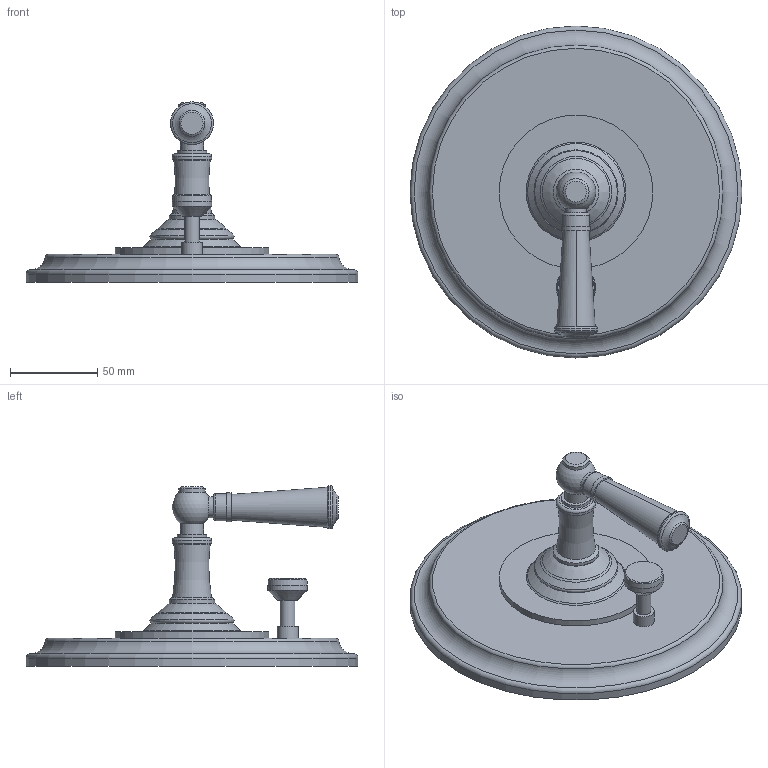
import cadquery as cq

plate_diameter = 190.5
overall_height = 103.43
overlap = 0.5

plate_radius = plate_diameter / 2
rim_height = 4.6
rim_round = 2.4
cove_radius = 8.66
cove_head_radius = 84.3
cove_head_z = 14.3
plate_top_radius = 82.4
plate_top_z = 16.0
plate_edge_round = 2.2

disc_radius = 44.1
disc_top_z = 19.6

flare_foot_radius = 28.6
flare_foot_z = 20.4
step_foot = (23.1, 24.7)
step_mid = (24.1, 25.8)
step_head = (23.7, 27.0)
shoulder_low = (20.4, 30.1)
shoulder_high = (19.3, 31.0)
cone_mid = (16.4, 33.8)
cone_head_radius = 12.9
bead_radius = 13.1
bead_low_z = 36.2
bead_high_z = 38.3

column_foot_radius = 11.2
column_foot_z = 39.5
waist_radius = 9.6
waist_z = 58.5
column_head_radius = 10.4
column_head_z = 70.0
collar_radius = 11.3
collar_low_z = 70.5
collar_round = 1.6
collar_top_z = 73.7
small_collar_radius = 8.4
small_collar_top_z = 75.6
neck_radius = 6.6

ball_radius = 11.4
cap_radius = 7.5
cap_shoulder_z = 99.8
cap_edge_z = 101.8
cap_top_radius = 6.0
cap_top_z = 102.8

lever_end_radius = 12.3
lever_axis_z = overall_height - lever_end_radius
lever_neck_radius = 6.0
sleeve_start = 12.2
sleeve_radius = 7.7
sleeve_round = 1.2
ring_start = 19.9
ring_radius = 8.3
ring_end = 22.4
grip_start_radius = 7.4
grip_end = 77.5
grip_end_width_radius = 11.0
grip_end_height_radius = 11.5
end_ring_round = 1.1
end_ring_end = 80.6
dome_mid = (9.1, 81.7)
dome_end_radius = 7.4
dome_end = 83.2
end_face_radius = 6.4
lever_length = 84.0

knob_y = -54.9
socket_radius = 6.0
socket_top_z = 23.0
stem_radius = 4.2
knob_foot_radius = 5.6
knob_foot_z = 37.7
knob_radius = 11.3
knob_flare_top_z = 43.4
knob_band_z = 46.5
knob_upper_radius = 11.0
knob_edge = 0.6
knob_top_z = 50.3


def revolve_profile(profile):
    """Close an (r, z) profile against the Z axis and revolve it."""
    return profile.close().revolve(360, (0, 0, 0), (0, 1, 0))


def make_plate():
    """Round plate with a rounded rim and a cove up to its flat top."""
    profile = (
        cq.Workplane("XZ")
        .lineTo(plate_radius, 0)
        .lineTo(plate_radius, rim_height)
        .radiusArc((plate_radius - rim_round, rim_height + rim_round), -rim_round)
        .radiusArc((cove_head_radius, cove_head_z), cove_radius)
        .radiusArc((plate_top_radius, plate_top_z), -plate_edge_round)
        .lineTo(0, plate_top_z)
    )
    return revolve_profile(profile)


def make_disc():
    """Thin index disc on top of the plate."""
    base_z = plate_top_z - overlap
    return cq.Workplane("XY").workplane(offset=base_z).circle(disc_radius).extrude(disc_top_z - base_z)


def make_column():
    """Stepped escutcheon, waisted column, collars and the neck up into the ball."""
    profile = (
        cq.Workplane("XZ")
        .moveTo(0, disc_top_z - overlap)
        .lineTo(flare_foot_radius, disc_top_z - overlap)
        .lineTo(flare_foot_radius, disc_top_z)
        .lineTo(flare_foot_radius - (flare_foot_z - disc_top_z), flare_foot_z)
        .lineTo(*step_foot)
        .threePointArc(step_mid, step_head)
        .lineTo(*shoulder_low)
        .lineTo(*shoulder_high)
        .threePointArc(cone_mid, (cone_head_radius, bead_low_z))
        .lineTo(bead_radius, bead_low_z)
        .lineTo(bead_radius, bead_high_z)
        .lineTo(column_foot_radius, column_foot_z)
        .threePointArc((waist_radius, waist_z), (column_head_radius, column_head_z))
        .lineTo(column_head_radius, collar_low_z)
        .lineTo(collar_radius, collar_low_z)
        .lineTo(collar_radius, collar_top_z - collar_round)
        .radiusArc((collar_radius - collar_round, collar_top_z), -collar_round)
        .lineTo(small_collar_radius, collar_top_z)
        .lineTo(small_collar_radius, small_collar_top_z)
        .lineTo(neck_radius, small_collar_top_z)
        .lineTo(neck_radius, lever_axis_z)
        .lineTo(0, lever_axis_z)
    )
    return revolve_profile(profile)


def make_ball():
    """Ball at the lever axis, topped by a small bevelled cap."""
    ball = cq.Workplane("XY").sphere(ball_radius).translate((0, 0, lever_axis_z))
    trim_size = 2 * ball_radius
    trim = (
        cq.Workplane("XY")
        .workplane(offset=cap_shoulder_z)
        .rect(trim_size, trim_size)
        .extrude(trim_size)
    )
    cap_profile = (
        cq.Workplane("XZ")
        .moveTo(0, lever_axis_z)
        .lineTo(cap_radius, lever_axis_z)
        .lineTo(cap_radius, cap_edge_z)
        .lineTo(cap_top_radius, cap_top_z)
        .lineTo(0, cap_top_z)
    )
    return ball.cut(trim).union(revolve_profile(cap_profile))


def make_grip():
    """Grip that widens from a circle to a slightly tall oval."""
    return (
        cq.Workplane("XY")
        .workplane(offset=ring_end)
        .circle(grip_start_radius)
        .workplane(offset=grip_end - ring_end)
        .ellipse(grip_end_width_radius, grip_end_height_radius)
        .loft()
    )


def make_lever():
    """Lever with sleeve, ring, oval grip and domed end, built along Z and then laid along -Y."""
    profile = (
        cq.Workplane("XZ")
        .lineTo(lever_neck_radius, 0)
        .lineTo(lever_neck_radius, sleeve_start)
        .lineTo(sleeve_radius - sleeve_round, sleeve_start)
        .radiusArc((sleeve_radius, sleeve_start + sleeve_round), -sleeve_round)
        .lineTo(sleeve_radius, ring_start)
        .lineTo(ring_radius, ring_start)
        .lineTo(ring_radius, ring_end)
        .lineTo(grip_start_radius, ring_end)
        .lineTo(grip_start_radius, grip_end)
        .lineTo(lever_end_radius - end_ring_round, grip_end)
        .radiusArc((lever_end_radius, grip_end + end_ring_round), -end_ring_round)
        .lineTo(lever_end_radius, end_ring_end - end_ring_round)
        .radiusArc((lever_end_radius - end_ring_round, end_ring_end), -end_ring_round)
        .threePointArc(dome_mid, (dome_end_radius, dome_end))
        .lineTo(end_face_radius, lever_length)
        .lineTo(0, lever_length)
    )
    lever = revolve_profile(profile).union(make_grip())
    return lever.rotate((0, 0, 0), (1, 0, 0), 90).translate((0, 0, lever_axis_z))


def make_knob():
    """Diverter knob: socket on the plate, stem and flared head."""
    profile = (
        cq.Workplane("XZ")
        .moveTo(0, plate_top_z - overlap)
        .lineTo(socket_radius, plate_top_z - overlap)
        .lineTo(socket_radius, socket_top_z)
        .lineTo(stem_radius, socket_top_z)
        .lineTo(stem_radius, knob_foot_z)
        .lineTo(knob_foot_radius, knob_foot_z)
        .lineTo(knob_radius, knob_flare_top_z)
        .lineTo(knob_radius, knob_band_z)
        .lineTo(knob_upper_radius, knob_top_z - knob_edge)
        .lineTo(knob_upper_radius - knob_edge, knob_top_z)
        .lineTo(0, knob_top_z)
    )
    return revolve_profile(profile).translate((0, knob_y, 0))


result = make_plate()
for piece in (make_disc(), make_column(), make_ball(), make_lever(), make_knob()):
    result = result.union(piece)